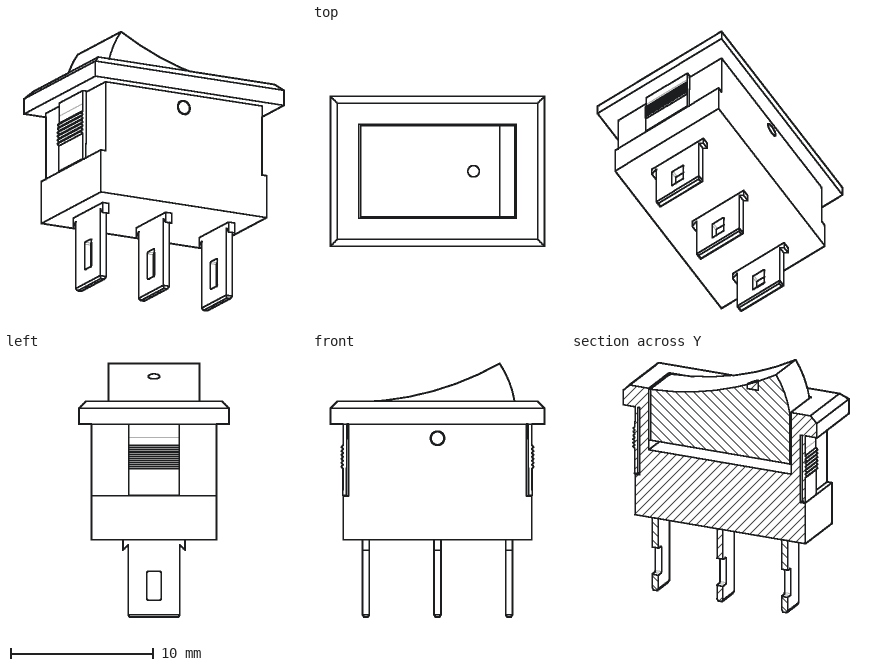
import cadquery as cq


bezel_length = 15.0
bezel_width = 10.5
bezel_height = 1.6
bezel_chamfer = 0.5

body_length = 13.19
body_width = 8.77
body_bottom = -9.7
recess_depth = 0.37
recess_height = 5.02
opening_length = 10.99
opening_width = 6.57
opening_depth = 4.62

clip_width = 3.5
clip_thickness = 0.27
clip_bottom_gap = 0.04
clip_bend_drop = 0.92
clip_lean = 0.04
tooth_count = 6
teeth_span = 1.65
tooth_pitch = teeth_span / tooth_count
tooth_height = 0.12
teeth_drop = 1.47

rocker_width = 6.39
rocker_left_x = -5.38
rocker_left_z = -0.05
rocker_tip_x = 4.35
rocker_tip_z = 2.65
rocker_right_x = 5.4
rocker_bottom = -3.9
face_mid_x = -0.32
face_mid_z = 0.71
end_mid_x = 5.0
end_mid_z = 1.4

marker_diameter = 0.8
marker_x = 2.52
marker_bottom = 1.25

pivot_z = -2.6
pin_diameter = 0.9
pin_hole_diameter = 1.0
pin_socket_depth = 0.89

terminal_count = 3
terminal_pitch = 5.0
terminal_thickness = 0.5
terminal_width = 3.62
overall_height = 17.75
terminal_length = overall_height - rocker_tip_z + body_bottom
shoulder_width = 4.35
shoulder_drop = 0.73
tip_chamfer_height = 0.18
tip_chamfer_inset = 0.1
slot_width = 1.0
slot_height = 2.0
slot_drop = 3.21
slot_corner_radius = 0.1

bezel_bottom = -bezel_height
ledge_z = bezel_bottom - recess_height
body_face_x = body_length / 2
body_face_y = body_width / 2


def make_clip():
    """Toothed snap clip on the +X end, leaning slightly outward below its bend."""
    bend_z = bezel_bottom - clip_bend_drop
    clip_bottom = ledge_z + clip_bottom_gap
    lean_slope = clip_lean / (bend_z - clip_bottom)

    def outer_x(z):
        return body_face_x + max(0.0, bend_z - z) * lean_slope

    outline = [
        (body_face_x - clip_thickness, bezel_bottom),
        (body_face_x, bezel_bottom),
        (body_face_x, bend_z),
    ]
    for tooth in range(tooth_count):
        tooth_top = bezel_bottom - teeth_drop - tooth * tooth_pitch
        tooth_tip = tooth_top - tooth_pitch / 2
        outline.append((outer_x(tooth_top), tooth_top))
        outline.append((outer_x(tooth_tip) + tooth_height, tooth_tip))
    teeth_bottom = bezel_bottom - teeth_drop - tooth_count * tooth_pitch
    outline += [
        (outer_x(teeth_bottom), teeth_bottom),
        (outer_x(clip_bottom), clip_bottom),
        (outer_x(clip_bottom) - clip_thickness, clip_bottom),
        (body_face_x - clip_thickness, bend_z),
    ]
    return cq.Workplane("XZ").polyline(outline).close().extrude(clip_width / 2, both=True)


def make_housing():
    """Bezel, stepped body and both clips, with the rocker opening and the pivot holes."""
    bezel = (
        cq.Workplane("XY")
        .workplane(offset=bezel_bottom)
        .rect(bezel_length, bezel_width)
        .extrude(bezel_height)
        .faces(">Z")
        .edges()
        .chamfer(bezel_chamfer)
    )
    lower_body = (
        cq.Workplane("XY")
        .workplane(offset=body_bottom)
        .rect(body_length, body_width)
        .extrude(ledge_z - body_bottom)
    )
    upper_body = (
        cq.Workplane("XY")
        .workplane(offset=ledge_z)
        .rect(body_length - 2 * recess_depth, body_width)
        .extrude(recess_height)
    )
    opening = cq.Workplane("XY").rect(opening_length, opening_width).extrude(-opening_depth)
    pivot_hole = (
        cq.Workplane("XZ")
        .center(0, pivot_z)
        .circle(pin_hole_diameter / 2)
        .extrude(body_face_y, both=True)
    )
    clip = make_clip()
    return (
        bezel.union(lower_body)
        .union(upper_body)
        .union(clip)
        .union(clip.mirror("YZ"))
        .cut(opening)
        .cut(pivot_hole)
    )


def make_rocker_blank():
    """Rocker with its concave face and rounded raised end, before any recess."""
    return (
        cq.Workplane("XZ")
        .moveTo(rocker_left_x, rocker_bottom)
        .lineTo(rocker_left_x, rocker_left_z)
        .threePointArc((face_mid_x, face_mid_z), (rocker_tip_x, rocker_tip_z))
        .threePointArc((end_mid_x, end_mid_z), (rocker_right_x, 0))
        .lineTo(rocker_right_x, rocker_bottom)
        .close()
        .extrude(rocker_width / 2, both=True)
    )


def make_marker(rocker_blank):
    """Round marker that fills its recess flush with the rocker face."""
    column = (
        cq.Workplane("XY")
        .workplane(offset=marker_bottom)
        .center(marker_x, 0)
        .circle(marker_diameter / 2)
        .extrude(rocker_tip_z - marker_bottom)
    )
    return column.intersect(rocker_blank)


def make_pivot_pin(side):
    """Pin from the body face into the rocker; side is -1 for -Y and 1 for +Y."""
    inner_end = rocker_width / 2 - pin_socket_depth
    pin = (
        cq.Workplane("XZ", origin=(0, -inner_end, pivot_z))
        .circle(pin_diameter / 2)
        .extrude(body_face_y - inner_end)
    )
    if side > 0:
        pin = pin.mirror("XZ")
    return pin


def make_terminal(x):
    """Solder blade with barbed shoulders, a chamfered tip and a wire slot."""
    blade_half = terminal_width / 2
    shoulder_half = shoulder_width / 2
    barb_notch_z = body_bottom - shoulder_drop + (shoulder_half - blade_half)
    barb_tip_z = body_bottom - shoulder_drop
    blade_bottom = body_bottom - terminal_length
    chamfer_top = blade_bottom + tip_chamfer_height
    right_half = [
        (shoulder_half, body_bottom),
        (shoulder_half, barb_tip_z),
        (blade_half, barb_notch_z),
        (blade_half, chamfer_top),
    ]
    left_half = [(-y, z) for y, z in reversed(right_half)]
    blade = (
        cq.Workplane("YZ", origin=(x, 0, 0))
        .polyline(right_half + left_half)
        .close()
        .extrude(terminal_thickness / 2, both=True)
    )
    tip = (
        cq.Workplane("XY", origin=(x, 0, chamfer_top))
        .rect(terminal_thickness, terminal_width)
        .workplane(offset=-tip_chamfer_height)
        .rect(terminal_thickness - 2 * tip_chamfer_inset, terminal_width - 2 * tip_chamfer_inset)
        .loft(ruled=True)
    )
    slot = (
        cq.Workplane("XY", origin=(x, 0, body_bottom - slot_drop))
        .box(terminal_thickness, slot_width, slot_height)
        .edges("|X")
        .fillet(slot_corner_radius)
    )
    return blade.union(tip).cut(slot)


housing = make_housing()
rocker_blank = make_rocker_blank()
marker = make_marker(rocker_blank)
pivot_pins = [make_pivot_pin(side) for side in (-1, 1)]
terminals = [
    make_terminal((index - (terminal_count - 1) / 2) * terminal_pitch)
    for index in range(terminal_count)
]

rocker = rocker_blank.cut(marker)
for pin in pivot_pins:
    rocker = rocker.cut(pin)

bodies = [housing, rocker, marker, *pivot_pins, *terminals]
result = cq.Compound.makeCompound([body.solids().val() for body in bodies])